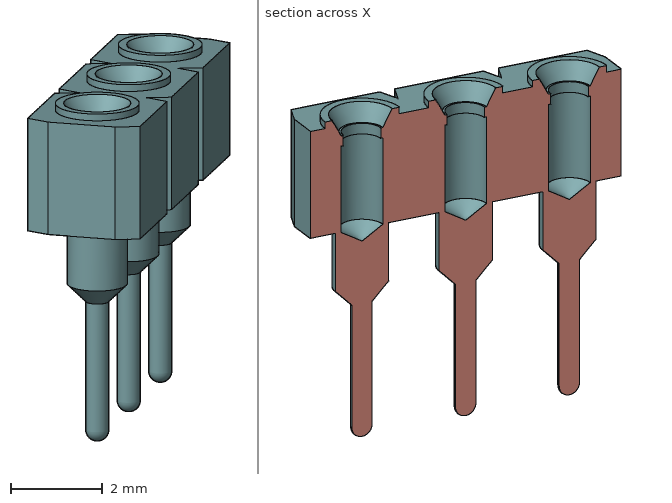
import cadquery as cq
import math

socket_count = 3
strip_length = 7.62
pitch = strip_length / socket_count
housing_width = pitch
housing_height = pitch
notch_depth = 0.51
notch_half_width = 0.18

overall_height = 7.62
rim_diameter = 1.83
rim_height = 0.15
shoulder_diameter = 1.32
shoulder_length = 1.37
tail_diameter = 0.51

entry_diameter = 1.46
entry_depth = 0.405
bore_diameter = 1.01
bore_cone_depth = 0.3
clip_diameter = 0.915
clip_height = 0.25

housing_top = housing_height
rim_top = housing_top + rim_height
shoulder_bottom = -shoulder_length
taper_bottom = shoulder_bottom - (shoulder_diameter - tail_diameter) / 2
tip_bottom = rim_top - overall_height
tip_start = tip_bottom + tail_diameter / 2
clip_top = rim_top - entry_depth
clip_bottom = clip_top - clip_height
bore_bottom = 0.0


def make_cell():
    """One housing cell: a square prism with all four corners cut back."""
    half_width = housing_width / 2
    half_length = pitch / 2
    flat_half_width = half_width - notch_depth
    flat_half_length = half_length - notch_half_width
    return (
        cq.Workplane("XY")
        .moveTo(-flat_half_width, -half_length)
        .lineTo(flat_half_width, -half_length)
        .lineTo(half_width, -flat_half_length)
        .lineTo(half_width, flat_half_length)
        .lineTo(flat_half_width, half_length)
        .lineTo(-flat_half_width, half_length)
        .lineTo(-half_width, flat_half_length)
        .lineTo(-half_width, -flat_half_length)
        .close()
        .extrude(housing_height)
    )


def make_contact():
    """Solid contact turned about Z: tail with hemispherical tip, taper, shoulder and rim."""
    tail_radius = tail_diameter / 2
    shoulder_radius = shoulder_diameter / 2
    rim_radius = rim_diameter / 2
    arc_offset = tail_radius * math.sqrt(0.5)
    return (
        cq.Workplane("XZ")
        .moveTo(0, tip_bottom)
        .threePointArc((arc_offset, tip_start - arc_offset), (tail_radius, tip_start))
        .lineTo(tail_radius, taper_bottom)
        .lineTo(shoulder_radius, shoulder_bottom)
        .lineTo(shoulder_radius, housing_top)
        .lineTo(rim_radius, housing_top)
        .lineTo(rim_radius, rim_top)
        .lineTo(0, rim_top)
        .close()
        .revolve(360, (0, 0), (0, 1))
    )


def make_bore():
    """Space removed from the socket, turned about Z."""
    entry_radius = entry_diameter / 2
    bore_radius = bore_diameter / 2
    clip_radius = clip_diameter / 2
    return (
        cq.Workplane("XZ")
        .moveTo(0, rim_top)
        .lineTo(entry_radius, rim_top)
        .lineTo(bore_radius, clip_top)
        .lineTo(clip_radius, clip_top)
        .lineTo(clip_radius, clip_bottom)
        .lineTo(bore_radius, clip_bottom)
        .lineTo(bore_radius, bore_bottom)
        .lineTo(0, bore_bottom - bore_cone_depth)
        .close()
        .revolve(360, (0, 0), (0, 1))
    )


socket = make_cell().union(make_contact()).cut(make_bore())
first_y = -(socket_count - 1) * pitch / 2
result = socket.translate((0, first_y, 0))
for index in range(1, socket_count):
    result = result.union(socket.translate((0, first_y + index * pitch, 0)))